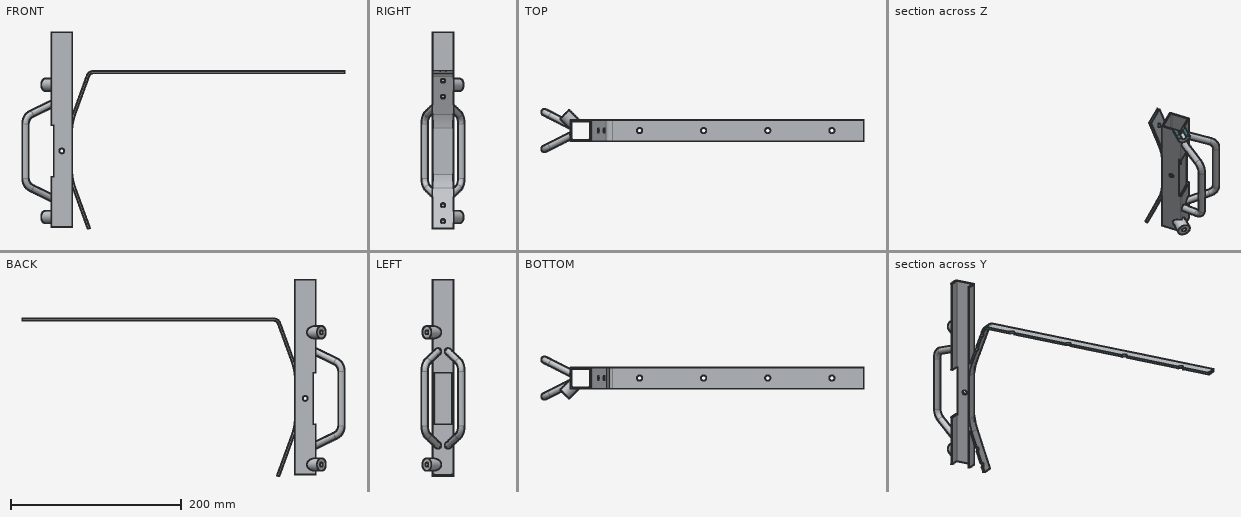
import cadquery as cq
import math


tube_side = 25.0
tube_wall = 2.0
tube_corner_radius = 1.0
tube_inner_corner_radius = 1.0
tube_top = 139.0
tube_bottom = -89.0
tube_half = tube_side / 2
tube_bore_side = tube_side - 2 * tube_wall

notch_height = 60.0
notch_depth = 3.0
cross_hole_diameter = 5.5

strap_thickness = 3.0
strap_width = tube_side
strap_end_x = 331.3
arm_top = 93.7
leg_tilt = math.radians(20.0)
leg_start = 33.5
strap_back_recess = 0.2
leg_tip = -91.32
arm_bend_radius = 6.5
leg_bend_radius = 61.5

arm_hole_diameter = 6.0
arm_hole_count = 4
arm_hole_pitch = 75.0
arm_hole_end_margin = 37.5
leg_hole_diameter = 5.0
leg_hole_xs = (21.9, 28.7)

bar_diameter = 8.0
grip_x = -42.4
grip_y = 21.465
grip_bend_radius = 12.5
grip_leg_rise = math.radians(23.5)
grip_root_height = 54.6

boss_diameter = 15.0
boss_bore_diameter = 5.0
boss_reach = 26.8
boss_height = 77.4


def rounded_path(plane, corners, radii):
    """Open wire through the corners, each inner corner rounded by a tangent arc."""
    points = [cq.Vector(*corner) for corner in corners]
    path = cq.Workplane(plane).moveTo(points[0].x, points[0].y)
    for before, corner, after, radius in zip(points, points[1:], points[2:], radii):
        direction_in = (corner - before).normalized()
        direction_out = (after - corner).normalized()
        turn = direction_in.getAngle(direction_out)
        tangent_length = radius * math.tan(turn / 2)
        arc_start = corner - direction_in * tangent_length
        arc_end = corner + direction_out * tangent_length
        path = path.lineTo(arc_start.x, arc_start.y)
        path = path.tangentArcPoint((arc_end.x, arc_end.y), relative=False)
    return path.lineTo(points[-1].x, points[-1].y)


def square_bar(side):
    """Sharp-cornered square bar over the full tube height."""
    bar = cq.Workplane("XY").workplane(offset=tube_bottom).rect(side, side)
    return bar.extrude(tube_top - tube_bottom)


def rounded_bar(side, corner_radius):
    """Square bar with rounded corners over the full tube height."""
    return square_bar(side).edges("|Z").fillet(corner_radius)


def cylinder_along(start, direction, length, diameter):
    """Round bar from a start point along a direction."""
    return cq.Workplane(cq.Solid.makeCylinder(diameter / 2, length, start, direction))


def make_strap():
    """Two sloping legs curving out of the +X tube face, the upper one bent over into a long arm."""
    half_thickness = strap_thickness / 2
    back_x = tube_half - strap_back_recess - half_thickness
    bend_height = leg_start - half_thickness * math.tan(leg_tilt / 2)
    arm_z = arm_top - half_thickness
    arm_corner_x = back_x + (arm_z - bend_height) * math.tan(leg_tilt)
    tip_z = leg_tip + half_thickness * math.sin(leg_tilt)
    tip_x = back_x + (-bend_height - tip_z) * math.tan(leg_tilt)
    corners = [
        (strap_end_x, arm_z),
        (arm_corner_x, arm_z),
        (back_x, bend_height),
        (back_x, -bend_height),
        (tip_x, tip_z),
    ]
    path = rounded_path("XZ", corners, [arm_bend_radius, leg_bend_radius, leg_bend_radius])
    section = cq.Workplane("YZ", origin=(strap_end_x, 0, arm_z)).rect(strap_width, strap_thickness)
    strap = section.sweep(path)

    for index in range(arm_hole_count):
        hole_x = strap_end_x - arm_hole_end_margin - index * arm_hole_pitch
        start = cq.Vector(hole_x, 0, arm_top - 2 * strap_thickness)
        strap = strap.cut(cylinder_along(start, cq.Vector(0, 0, 1), 3 * strap_thickness, arm_hole_diameter))

    for hole_x in leg_hole_xs:
        hole_height = bend_height + (hole_x - back_x) / math.tan(leg_tilt)
        for side in (1, -1):
            normal = cq.Vector(math.cos(leg_tilt), 0, -side * math.sin(leg_tilt))
            start = cq.Vector(hole_x, 0, side * hole_height) - normal * strap_thickness
            strap = strap.cut(cylinder_along(start, normal, 2 * strap_thickness, leg_hole_diameter))
    return strap.cut(square_bar(tube_side))


def make_grip(side):
    """C-shaped bar on the +Y (side = 1) or -Y (side = -1) side of the -X wall."""
    outward = cq.Vector(grip_x, side * grip_y, 0)
    grip_reach = outward.Length
    face_reach = grip_reach * tube_half / abs(grip_x)
    corner_height = grip_root_height - (grip_reach - face_reach) * math.tan(grip_leg_rise)
    root_reach = face_reach - tube_wall
    root_height = grip_root_height + tube_wall * math.tan(grip_leg_rise)
    corners = [
        (root_reach, root_height),
        (grip_reach, corner_height),
        (grip_reach, -corner_height),
        (root_reach, -root_height),
    ]
    grip_plane = cq.Plane((0, 0, 0), outward, outward.cross(cq.Vector(0, 0, 1)))
    path = rounded_path(grip_plane, corners, [grip_bend_radius, grip_bend_radius])
    start = grip_plane.toWorldCoords((root_reach, root_height))
    along = grip_plane.toWorldCoords((grip_reach, corner_height)) - start
    section_plane = cq.Plane(start, normal=along)
    section = cq.Workplane(section_plane).circle(bar_diameter / 2)
    return section.sweep(path)


def make_boss(height):
    """Bored round boss standing diagonally on the tube corner."""
    start = cq.Vector(0, 0, height)
    direction = cq.Vector(-1, 1, 0)
    boss = cylinder_along(start, direction, boss_reach, boss_diameter)
    bore = cylinder_along(start, direction, boss_reach, boss_bore_diameter)
    return boss.cut(bore).cut(rounded_bar(tube_side, tube_corner_radius))


result = rounded_bar(tube_side, tube_corner_radius)
result = result.union(make_strap())
for side in (1, -1):
    result = result.union(make_grip(side))
result = result.cut(rounded_bar(tube_bore_side, tube_inner_corner_radius))
for height in (boss_height, -boss_height):
    result = result.union(make_boss(height))

notch = cq.Workplane("XY").box(2 * notch_depth, tube_side, notch_height).translate((-tube_half, 0, 0))
result = result.cut(notch)
cross_hole = cylinder_along(
    cq.Vector(0, -tube_side, 0), cq.Vector(0, 1, 0), 2 * tube_side, cross_hole_diameter
)
result = result.cut(cross_hole)